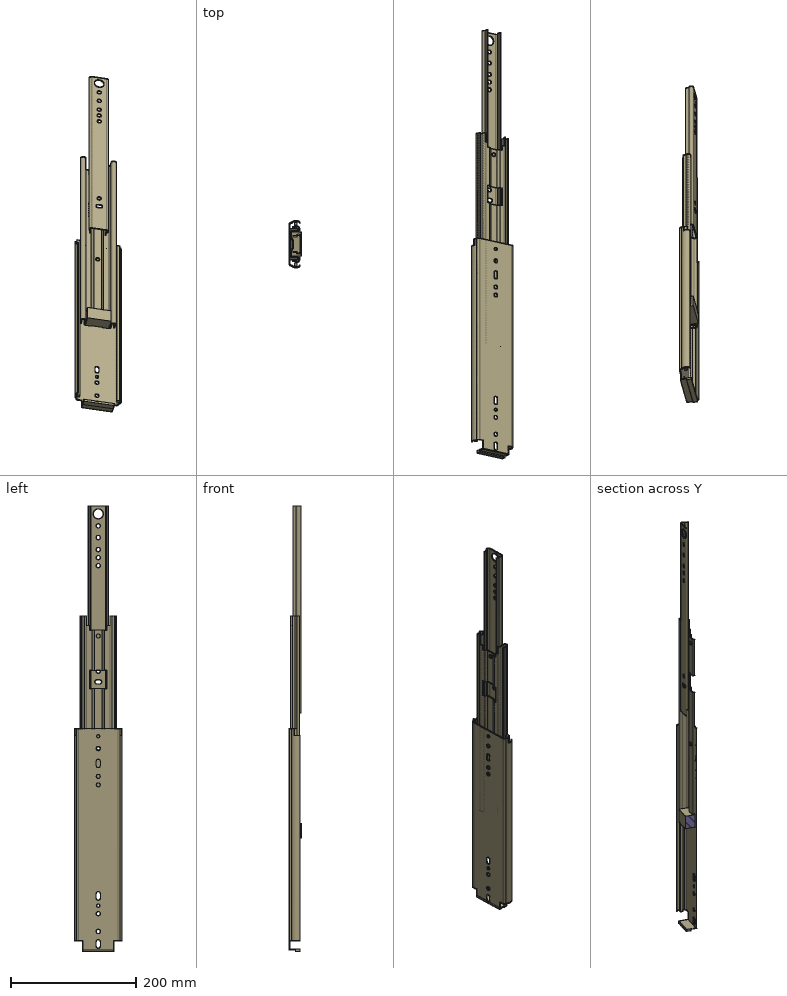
import cadquery as cq


sheet = 1.8
half_sheet = sheet / 2
cut_depth = 71.0

outer_top = 355.5
outer_bottom = 17.0
middle_top = 535.5
middle_bottom = 181.5
inner_top = 711.0
inner_bottom = 380.5

hole_diameter = 6.5
slot_length = 13.5

outer_width = 76.0
outer_lip_x = 18.0
track_start = (4.0, 34.0)
outer_web_half = 31.0
lip_notch_x = 8.0
lip_notch_height = 11.0
tab_half_width = 25.0
tab_flange_bottom = 2.0
tab_flange_thickness = 2.0
tab_step_x = 10.0
tab_hook_height = 3.2
outer_hole_heights = [323.5, 279.5, 266.0, 60.5, 32.0]
outer_pin_hole_heights = [343.5, 73.0]
outer_slot_heights = [300.0, 89.0, 12.0]
pin_hole_diameter = 5.0

middle_web_x = 2.0
rib_depth = 3.5
rib_floor_half = 6.5
rib_top_half = 10.0
middle_web_half = 18.5
inner_wall_y = 21.0
crest_y = 28.5
middle_lip_y = 27.0
fold_x = 17.0
middle_lip_x = 5.3
middle_lip_end_x = 10.0
window_width = 28.0
window_bottom = 419.5
window_top = 449.0
mouth_bottom = 513.0
mouth_wide_bottom = 520.5
middle_hole_heights = [503.5, 325.0]
stop_half_width = 19.0
stop_height = 23.0
stop_x = 20.0

inner_back_x = 19.0
inner_width = 32.0
inner_lip_x = 6.05
inner_mouth = 23.5
inner_lip_end_x = 12.0
inner_crest_x = 16.0
inner_web_half = 12.0
end_hole_height = 698.5
end_hole_diameter = 16.0
inner_hole_heights = [679.0, 661.0, 641.5, 629.0, 616.0, 447.0]
cross_slot_height = 430.0
cross_slot_length = 11.0

retainer_x = (8.5, 13.0)
retainer_y = (30.0, 35.0)


def box(x_range, y_range, z_range):
    """Block spanning the given ranges."""
    size = [high - low for low, high in (x_range, y_range, z_range)]
    corner = cq.Vector(x_range[0], y_range[0], z_range[0])
    return cq.Workplane(cq.Solid.makeBox(*size, corner))


def centred_box(x_range, half_width, z_range):
    return box(x_range, (-half_width, half_width), z_range)


def holes(heights, diameter):
    """Round cutters along X on the rail centreline."""
    points = [(0, height) for height in heights]
    cutters = cq.Workplane("YZ", origin=(-cut_depth / 2, 0, 0)).pushPoints(points)
    return cutters.circle(diameter / 2).extrude(cut_depth)


def slots(heights, length, angle):
    """Elongated cutters along X; an angle of 90 stands them upright."""
    points = [(0, height) for height in heights]
    cutters = cq.Workplane("YZ", origin=(-cut_depth / 2, 0, 0)).pushPoints(points)
    return cutters.slot2D(length, hole_diameter, angle).extrude(cut_depth)


def rolled_rail(half_path, bottom, top):
    """Sheet rail from the +Y half of its centreline, given as edges from Y = 0 to the lip."""
    mirrored = [edge.mirror("XZ") for edge in half_path]
    centreline = cq.Wire.assembleEdges(mirrored[::-1] + half_path)
    section = centreline.offset2D(half_sheet)[0]
    rail = cq.Solid.extrudeLinear(section, [], cq.Vector(0, 0, top - bottom))
    return cq.Workplane(rail.moved(cq.Location(cq.Vector(0, 0, bottom))))


def line(start, end):
    return cq.Edge.makeLine(cq.Vector(*start), cq.Vector(*end))


def arc(start, middle, end):
    return cq.Edge.makeThreePointArc(cq.Vector(*start), cq.Vector(*middle), cq.Vector(*end))


def bend(start, direction, end):
    return cq.Edge.makeTangentArc(cq.Vector(*start), cq.Vector(*direction), cq.Vector(*end))


def make_outer_rail():
    web_end = (half_sheet, outer_web_half)
    crown = ((track_start[0] + outer_lip_x) / 2, outer_width / 2 - half_sheet)
    lip = (outer_lip_x, track_start[1])
    rail = rolled_rail(
        [
            line((half_sheet, 0), web_end),
            bend(web_end, (0, 1), track_start),
            arc(track_start, crown, lip),
        ],
        outer_bottom,
        outer_top,
    )

    rail = rail.cut(centred_box((outer_lip_x, cut_depth), cut_depth, (outer_bottom, outer_top)))

    notch_z = (outer_top - lip_notch_height, outer_top)
    rail = rail.cut(centred_box((lip_notch_x, cut_depth), cut_depth, notch_z))

    flange_z = (tab_flange_bottom, tab_flange_bottom + tab_flange_thickness)
    rail = rail.union(centred_box((0, sheet), tab_half_width, (tab_flange_bottom, outer_bottom + sheet)))
    rail = rail.union(centred_box((0, outer_lip_x), tab_half_width, flange_z))
    rail = rail.union(centred_box((tab_step_x, outer_lip_x), tab_half_width, (0, tab_hook_height)))

    web_holes = holes(outer_hole_heights, hole_diameter)
    pin_holes = holes(outer_pin_hole_heights, pin_hole_diameter)
    return rail.cut(web_holes).cut(pin_holes).cut(slots(outer_slot_heights, slot_length, 90))


def make_middle_rail():
    web_x = middle_web_x + half_sheet
    floor_x = web_x + rib_depth
    corner = inner_wall_y - middle_web_half
    fold_radius = (crest_y - inner_wall_y) / 2
    fold_start_x = fold_x - half_sheet - fold_radius
    fold_crown = (fold_x - half_sheet, inner_wall_y + fold_radius)
    lip_end = (middle_lip_end_x, middle_lip_y)
    web_end = (web_x, middle_web_half)
    wall_start = (web_x + corner, inner_wall_y)
    fold_start = (fold_start_x, inner_wall_y)
    fold_end = (fold_start_x, crest_y)
    rail = rolled_rail(
        [
            line((floor_x, 0), (floor_x, rib_floor_half)),
            line((floor_x, rib_floor_half), (web_x, rib_top_half)),
            line((web_x, rib_top_half), web_end),
            bend(web_end, (0, 1), wall_start),
            line(wall_start, fold_start),
            arc(fold_start, fold_crown, fold_end),
            line(fold_end, lip_end),
            line(lip_end, (middle_lip_x, middle_lip_y)),
        ],
        middle_bottom,
        middle_top,
    )

    lip_clearance = middle_lip_y - half_sheet
    for side in (-1, 1):
        beside_web = sorted((side * lip_clearance, side * cut_depth))
        rail = rail.cut(box((0, middle_lip_x), beside_web, (middle_bottom, middle_top)))

    web_range = (0, floor_x + sheet)
    rail = rail.cut(centred_box(web_range, window_width / 2, (mouth_bottom, middle_top)))
    rail = rail.cut(centred_box(web_range, middle_web_half, (mouth_wide_bottom, middle_top)))
    rail = rail.cut(centred_box(web_range, window_width / 2, (window_bottom, window_top)))
    rail = rail.cut(holes(middle_hole_heights, hole_diameter))

    stop_z = (middle_bottom, middle_bottom + stop_height)
    return rail.union(centred_box((web_x, stop_x), stop_half_width, stop_z))


def make_inner_rail():
    back_x = inner_back_x - half_sheet
    lip_y = inner_mouth / 2 + half_sheet
    web_end = (back_x, inner_web_half)
    crest = (inner_crest_x, inner_width / 2 - half_sheet)
    lip_end = (inner_lip_end_x, lip_y)
    rail = rolled_rail(
        [
            line((back_x, 0), web_end),
            arc(web_end, crest, lip_end),
            line(lip_end, (inner_lip_x, lip_y)),
        ],
        inner_bottom,
        inner_top,
    )

    rail = rail.cut(centred_box((0, inner_lip_x), cut_depth, (inner_bottom, inner_top)))

    rail = rail.cut(holes([end_hole_height], end_hole_diameter))
    rail = rail.cut(holes(inner_hole_heights, hole_diameter))
    return rail.cut(slots([cross_slot_height], cross_slot_length, 0))


def make_ball_retainer(side):
    """Strip between the ball tracks of the outer and middle rails; side is +1 or -1 along Y."""
    y_range = sorted(side * y for y in retainer_y)
    return box(retainer_x, y_range, (outer_bottom, outer_top))


outer_rail = make_outer_rail()
middle_rail = make_middle_rail()
inner_rail = make_inner_rail()
ball_retainers = [make_ball_retainer(side) for side in (-1, 1)]

result = cq.Compound.makeCompound(
    [
        outer_rail.val(),
        middle_rail.val(),
        inner_rail.val(),
        *[retainer.val() for retainer in ball_retainers],
    ]
)